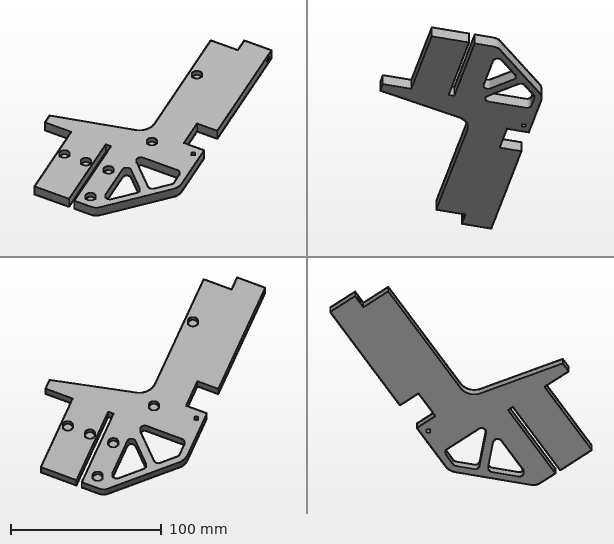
import cadquery as cq
import math

length = 180.0
width = 105.8
thickness = 8.0

shoulder_y = 55.0
arm_tip_y = 62.1
arm_slope = 13.2
leg_left = 19.5
column_left = 65.7
arm_fillet = 11.3
step_x = 85.7
step_y = 170.3
notch_x = 90.9
notch_bottom = 79.0
notch_top = 98.6
bevel_start_x = 64.5
bevel_lower_fillet = 8.0
bevel_upper_fillet = 10.0

slot_left = 45.0
slot_right = 48.8

window_left = 65.0
window_right = 100.8
window_fillet = 3.0
rim_width = 4.5
strut_width = 5.8
strut_top_sum = 120.0

pocket_diameter = 7.0
pocket_depth = thickness / 2
column_pocket_x = 71.3
leg_pocket_y = 35.1
right_leg_pocket_x = 56.9
pocket_centers = [
    (column_pocket_x, 138.2),
    (column_pocket_x, 70.7),
    (24.3, leg_pocket_y),
    (40.1, leg_pocket_y),
    (right_leg_pocket_x, leg_pocket_y),
    (right_leg_pocket_x, 8.1),
]
pin_hole_diameter = 2.7
pin_hole_center = (window_right, 72.9)
cross_hole_diameter = 3.6
cross_hole_y = (step_y + length) / 2


def prism(points):
    """Closed polygon extruded through the plate thickness."""
    return cq.Workplane("XY").polyline(points).close().extrude(thickness)


def round_corner(body, x, y, radius):
    """Fillet the vertical edge that stands at (x, y)."""
    reach = 0.2
    corner = cq.selectors.BoxSelector((x - reach, y - reach, 0), (x + reach, y + reach, thickness))
    return body.edges("|Z").edges(corner).fillet(radius)


def make_plate():
    arm_root_y = arm_tip_y + column_left * math.tan(math.radians(arm_slope))
    bevel_end_y = width - bevel_start_x
    plate = prism([
        (leg_left, 0),
        (slot_left, 0),
        (slot_left, shoulder_y),
        (slot_right, shoulder_y),
        (slot_right, 0),
        (bevel_start_x, 0),
        (width, bevel_end_y),
        (width, notch_bottom),
        (notch_x, notch_bottom),
        (notch_x, notch_top),
        (width, notch_top),
        (width, length),
        (step_x, length),
        (step_x, step_y),
        (column_left, step_y),
        (column_left, arm_root_y),
        (0, arm_tip_y),
        (0, shoulder_y),
        (leg_left, shoulder_y),
    ])
    plate = round_corner(plate, column_left, arm_root_y, arm_fillet)
    plate = round_corner(plate, bevel_start_x, 0, bevel_lower_fillet)
    return round_corner(plate, width, bevel_end_y, bevel_upper_fillet)


def make_windows():
    rim_difference = bevel_start_x - rim_width * math.sqrt(2)
    strut_bottom_sum = strut_top_sum - strut_width * math.sqrt(2)
    upper = prism([
        (strut_top_sum - shoulder_y, shoulder_y),
        (window_right, shoulder_y),
        (window_right, window_right - rim_difference),
        ((strut_top_sum + rim_difference) / 2, (strut_top_sum - rim_difference) / 2),
    ])
    lower = prism([
        (window_left, strut_bottom_sum - window_left),
        (window_left, window_left - rim_difference),
        ((strut_bottom_sum + rim_difference) / 2, (strut_bottom_sum - rim_difference) / 2),
    ])
    return [window.edges("|Z").fillet(window_fillet) for window in (upper, lower)]


def make_pockets():
    floor = cq.Workplane("XY").workplane(offset=thickness - pocket_depth)
    return floor.pushPoints(pocket_centers).circle(pocket_diameter / 2).extrude(pocket_depth)


def make_pin_hole():
    return cq.Workplane("XY").center(*pin_hole_center).circle(pin_hole_diameter / 2).extrude(thickness)


def make_cross_hole():
    side = cq.Workplane("YZ").center(cross_hole_y, thickness / 2)
    return side.circle(cross_hole_diameter / 2).extrude(width)


result = make_plate()
for cutter in make_windows() + [make_pockets(), make_pin_hole(), make_cross_hole()]:
    result = result.cut(cutter)